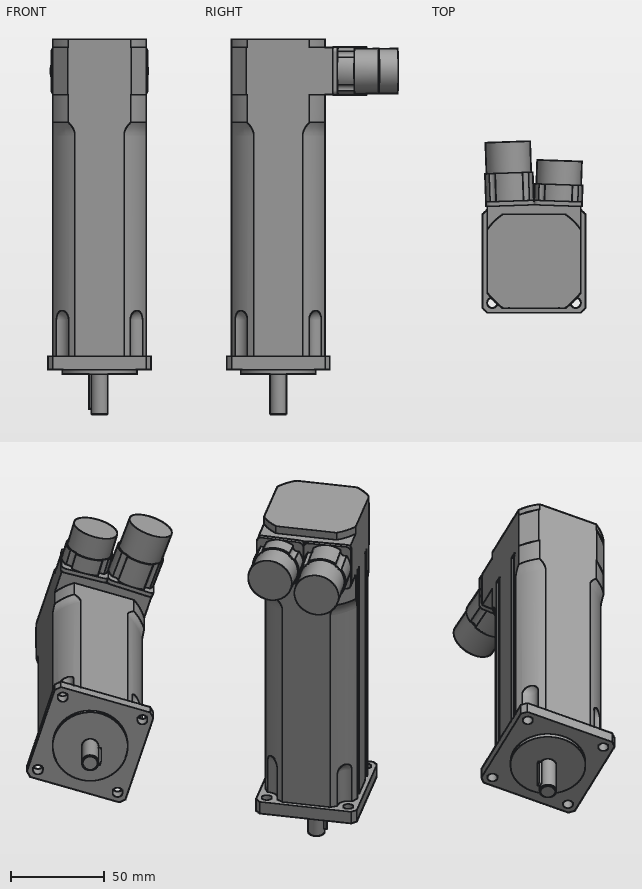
import cadquery as cq
import math


flange_width = 55.0
flange_thickness = 7.2
flange_chamfer = 2.5
hole_offset = 22.2
hole_diameter = 5.5
pilot_diameter = 40
pilot_height = 2.5
shaft_diameter = 9.0
shaft_length = 24
shaft_chamfer = 0.5

key_width = 2.8
key_height = 1.2
key_tip_gap = 3.0
key_length = shaft_length - pilot_height - key_tip_gap

total_length = 200
top_z = total_length - shaft_length
column_width = 50
lower_corner_radius = 28.2
upper_corner_radius = 30
shoulder_top_z = top_z - 44.5
shoulder_radius = 14
relief_radius = 5.8
relief_height = 19.5

head_top_z = top_z - 4.5
head_height = 25.2
head_bottom_z = head_top_z - head_height
head_chamfer = 8
head_reach = 30
splay_angle = 2

groove_width = 4
groove_offset = 9.5
groove_depth = 1.0

connector_z = head_bottom_z + head_height / 2
base_width = 25.5
base_thickness = 2.5
base_corner_radius = 2.5
collar_diameter = base_width
barrel_diameter = 24
flute_count = 4
flute_start_angle = 45
flute_radius = 2.5
flute_center_radius = 13.5
long_collar_length = 15.0
long_barrel_length = 16.5
short_collar_length = 8.8
short_barrel_length = 12.8


def hole_axes(z):
    """The four flange hole positions, on the level z."""
    return (
        cq.Workplane("XY", origin=(0, 0, z))
        .rect(2 * hole_offset, 2 * hole_offset, forConstruction=True)
        .vertices()
    )


def make_flange():
    flange = (
        cq.Workplane("XY")
        .rect(flange_width, flange_width)
        .extrude(flange_thickness)
        .edges("|Z")
        .chamfer(flange_chamfer)
    )
    holes = hole_axes(0).circle(hole_diameter / 2).extrude(flange_thickness)
    return flange.cut(holes)


def make_pilot():
    return cq.Workplane("XY").circle(pilot_diameter / 2).extrude(-pilot_height)


def make_shaft():
    shaft = cq.Workplane("XY").circle(shaft_diameter / 2).extrude(-shaft_length)
    return shaft.faces("<Z").chamfer(shaft_chamfer)


def make_key():
    key_center_z = -shaft_length + key_tip_gap + key_length / 2
    return (
        cq.Workplane("YZ")
        .center(0, key_center_z)
        .slot2D(key_length, key_width, 90)
        .extrude(-(shaft_diameter / 2 + key_height))
    )


def make_column():
    """Square column whose corners are turned to two radii, joined by a concave shoulder."""
    step = upper_corner_radius - lower_corner_radius
    shoulder_height = math.sqrt(shoulder_radius**2 - (shoulder_radius - step) ** 2)
    shoulder_bottom_z = shoulder_top_z - shoulder_height
    half_sweep = math.acos(1 - step / shoulder_radius) / 2
    arc_middle = (
        lower_corner_radius + shoulder_radius * (1 - math.cos(half_sweep)),
        shoulder_bottom_z + shoulder_radius * math.sin(half_sweep),
    )
    turned = (
        cq.Workplane("XZ")
        .moveTo(0, flange_thickness)
        .lineTo(lower_corner_radius, flange_thickness)
        .lineTo(lower_corner_radius, shoulder_bottom_z)
        .threePointArc(arc_middle, (upper_corner_radius, shoulder_top_z))
        .lineTo(upper_corner_radius, top_z)
        .lineTo(0, top_z)
        .close()
        .revolve(360, (0, 0, 0), (0, 1, 0))
    )
    square = (
        cq.Workplane("XY", origin=(0, 0, flange_thickness))
        .rect(column_width, column_width)
        .extrude(top_z - flange_thickness)
    )
    return square.intersect(turned)


def make_screw_reliefs():
    reliefs = hole_axes(flange_thickness).circle(relief_radius).extrude(relief_height)
    ball_ends = hole_axes(flange_thickness + relief_height).sphere(relief_radius)
    return reliefs.union(ball_ends)


def make_side_grooves():
    groove_length = head_bottom_z - flange_thickness
    return (
        cq.Workplane("YZ", origin=(-column_width / 2, 0, flange_thickness + groove_length / 2))
        .pushPoints([(-groove_offset, 0), (groove_offset, 0)])
        .rect(groove_width, groove_length)
        .extrude(groove_depth)
    )


def make_head():
    """Block that reaches out to +Y and ends in two slightly splayed connector seats."""
    half_width = column_width / 2
    seat_setback = half_width * math.tan(math.radians(splay_angle))
    return (
        cq.Workplane("XY", origin=(0, 0, head_bottom_z))
        .moveTo(-half_width + head_chamfer, -half_width)
        .lineTo(half_width - head_chamfer, -half_width)
        .lineTo(half_width, -half_width + head_chamfer)
        .lineTo(half_width, head_reach - seat_setback)
        .lineTo(0, head_reach)
        .lineTo(-half_width, head_reach - seat_setback)
        .lineTo(-half_width, -half_width + head_chamfer)
        .close()
        .extrude(head_height)
    )


def make_head_space():
    """Slice of the column that the head replaces, so the head's flat corners stay flat."""
    return (
        cq.Workplane("XY", origin=(0, 0, head_bottom_z))
        .rect(column_width, column_width)
        .extrude(head_height)
    )


def make_motor():
    column = make_column().cut(make_screw_reliefs()).cut(make_side_grooves()).cut(make_head_space())
    return (
        column.union(make_head())
        .union(make_flange())
        .union(make_pilot())
        .union(make_shaft())
        .union(make_key())
    )


def make_connector(side, collar_length, barrel_length):
    """Connector on the seat at the -X (side = -1) or +X (side = 1) half of the head."""
    splay = math.radians(splay_angle)
    seat = cq.Plane(
        origin=(
            side * base_width / 2 * math.cos(splay),
            head_reach - base_width / 2 * math.sin(splay),
            connector_z,
        ),
        xDir=(-math.cos(splay), side * math.sin(splay), 0),
        normal=(side * math.sin(splay), math.cos(splay), 0),
    )
    base = (
        cq.Workplane(seat)
        .sketch()
        .rect(base_width, base_width)
        .vertices()
        .fillet(base_corner_radius)
        .finalize()
        .extrude(base_thickness)
    )
    collar = cq.Workplane(seat).workplane(offset=base_thickness)
    flutes = (
        collar.polarArray(flute_center_radius, flute_start_angle, 360, flute_count)
        .circle(flute_radius)
        .extrude(collar_length)
    )
    collar = collar.circle(collar_diameter / 2).extrude(collar_length).cut(flutes)
    barrel = (
        cq.Workplane(seat)
        .workplane(offset=base_thickness + collar_length)
        .circle(barrel_diameter / 2)
        .extrude(barrel_length)
    )
    return base.union(collar).union(barrel)


motor = make_motor()
connectors = []
for side, collar_length, barrel_length in [
    (-1, long_collar_length, long_barrel_length),
    (1, short_collar_length, short_barrel_length),
]:
    connector = make_connector(side, collar_length, barrel_length)
    connectors.append(connector.solids().val())

result = cq.Compound.makeCompound([motor.solids().val(), *connectors])